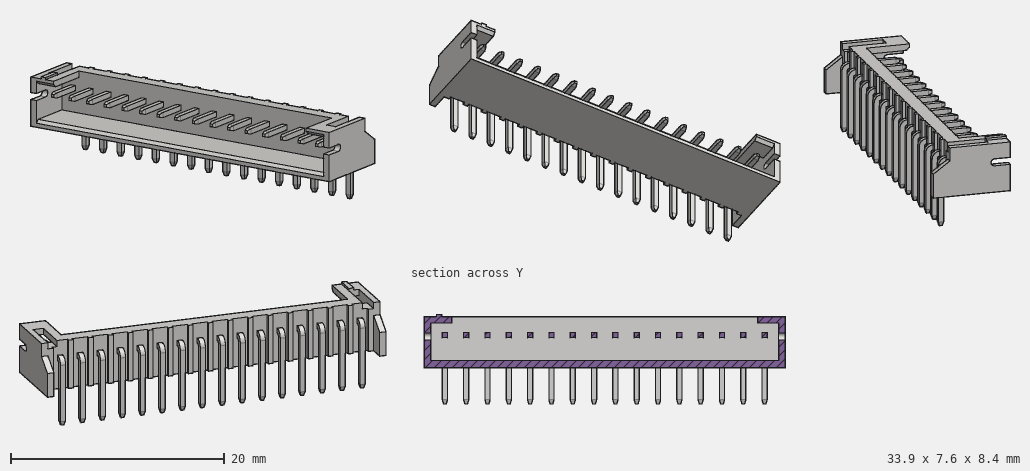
import cadquery as cq
import math


length = 33.9
height = 4.8
depth = 5.65
side_wall = 0.65
floor_thickness = 0.7
roof_thickness = 0.6
cavity_depth = 4.25
lead_in = 0.3
window_width = 28.68

wing_depth = 7.6
wing_shoulder_y = 5.95
wing_shoulder_z = 3.53
wing_back_z = 2.37
wing_slot_width = 0.68
wing_slot_depth = 1.9
wing_slot_z = 2.95

channel_front_y = 2.0
channel_width = 1.02
channel_depth = 0.6
marker_width = 0.5
marker_height = 0.2

pin_count = 16
pitch = 2.0
pin_size = 0.5
pin_z = 3.1
pin_tip_y = 0.78
pin_leg_y = 6.27
pin_drop = 3.4
bend_radius = 0.47
tip_length = 0.4
tip_size = 0.27

rib_width = 0.47
end_rib_width = 0.55

half_length = length / 2
channel_x = half_length - side_wall - channel_width / 2
first_pin_x = -(pin_count - 1) * pitch / 2


def box(x_center, width, y_range, z_range):
    """Block centred on x_center, spanning the given Y and Z ranges."""
    y_low, y_high = y_range
    z_low, z_high = z_range
    return (
        cq.Workplane("XY")
        .box(width, y_high - y_low, z_high - z_low, centered=(True, False, False))
        .translate((x_center, y_low, z_low))
    )


def extrude_along_x(points, x_center, width):
    """Closed (Y, Z) outline extruded along X, centred on x_center."""
    start = x_center - width / 2
    return cq.Workplane("YZ", origin=(start, 0, 0)).polyline(points).close().extrude(width)


def make_cavity():
    """Pocket open to the front, with lead-in bevels on its floor and roof."""
    bottom = floor_thickness
    top = height - roof_thickness
    outline = [
        (0, bottom - lead_in),
        (lead_in, bottom),
        (cavity_depth, bottom),
        (cavity_depth, top),
        (lead_in, top),
        (0, top + lead_in),
    ]
    return extrude_along_x(outline, 0, length - 2 * side_wall)


def make_wing(side):
    """End wall that reaches behind the housing with a sloped shoulder."""
    outline = [
        (0, 0),
        (wing_depth, 0),
        (wing_depth, wing_back_z),
        (wing_shoulder_y, wing_shoulder_z),
        (wing_shoulder_y, height),
        (0, height),
    ]
    return extrude_along_x(outline, side * (half_length - side_wall / 2), side_wall)


def make_wing_slots():
    """Round-ended slot running through both end walls from the front."""
    return (
        cq.Workplane("YZ", origin=(-half_length, 0, 0))
        .center(0, wing_slot_z)
        .slot2D(2 * wing_slot_depth, wing_slot_width)
        .extrude(length)
    )


def make_back_rib(x, width):
    """Upright rib on the rear face of the housing."""
    return box(x, width, (cavity_depth, wing_shoulder_y), (0, height))


def make_tip(plane):
    """Tapered pin end growing along the normal of the plane."""
    taper = math.degrees(math.atan((pin_size - tip_size) / 2 / tip_length))
    return cq.Workplane(plane).rect(pin_size, pin_size).extrude(tip_length, taper=taper)


def make_pin():
    """Right-angle square pin at X = 0 with a rounded bend and tapered ends."""
    contact_y = pin_tip_y + tip_length
    leg_z = tip_length - pin_drop
    path = (
        cq.Workplane("YZ")
        .moveTo(contact_y, pin_z)
        .lineTo(pin_leg_y - bend_radius, pin_z)
        .radiusArc((pin_leg_y, pin_z - bend_radius), bend_radius)
        .lineTo(pin_leg_y, leg_z)
    )
    bar = (
        cq.Workplane("XZ", origin=(0, contact_y, pin_z))
        .rect(pin_size, pin_size)
        .sweep(path)
    )
    contact_plane = cq.Plane(origin=(0, contact_y, pin_z), xDir=(1, 0, 0), normal=(0, -1, 0))
    leg_plane = cq.Plane(origin=(0, pin_leg_y, leg_z), xDir=(1, 0, 0), normal=(0, 0, -1))
    return bar.union(make_tip(contact_plane)).union(make_tip(leg_plane))


result = box(0, length, (0, depth), (0, height))
for side in (-1, 1):
    end_rib_x = side * (half_length - side_wall - end_rib_width / 2)
    result = result.union(make_wing(side)).union(make_back_rib(end_rib_x, end_rib_width))
for index in range(pin_count - 1):
    result = result.union(make_back_rib(first_pin_x + (index + 0.5) * pitch, rib_width))

result = result.cut(make_cavity())
result = result.cut(box(0, window_width, (0, cavity_depth), (floor_thickness, height)))
result = result.cut(make_wing_slots())
for side in (-1, 1):
    channel = box(
        side * channel_x,
        channel_width,
        (channel_front_y, wing_depth),
        (height - channel_depth, height),
    )
    result = result.cut(channel)

marker_x = -channel_x + (channel_width - marker_width) / 2
lead_in_edge_z = height - roof_thickness + lead_in
marker = box(marker_x, marker_width, (0, channel_front_y), (lead_in_edge_z, height + marker_height))
result = result.union(marker)

pin = make_pin()
for index in range(pin_count):
    result = result.union(pin.translate((first_pin_x + index * pitch, 0, 0)))